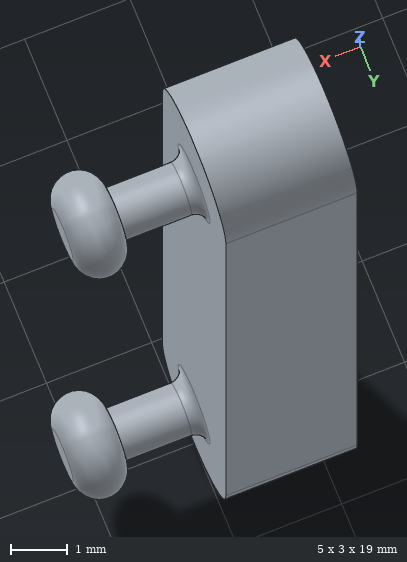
import cadquery as cq
import math

bar_length = 19.0
bar_width = 3.0
bar_thickness = 2.5

pin_spacing = 14.0
pin_projection = 2.5
stem_radius = 0.5
root_fillet = 0.25
head_radius = 1.0
head_thickness = 1.0
head_round = head_thickness / 2

tip_x = bar_thickness + pin_projection
head_start_x = tip_x - head_thickness


def make_bar():
    """Slot-shaped bar, long along Z and extruded along +X."""
    return cq.Workplane("YZ").slot2D(bar_length, bar_width, 90).extrude(bar_thickness)


def make_pin(center_z):
    """Pin revolved about an axis parallel to X at the given height."""
    diagonal = math.sqrt(0.5)
    root_mid = (
        bar_thickness + root_fillet * (1 - diagonal),
        stem_radius + root_fillet * (1 - diagonal),
    )
    rim_mid = (head_start_x + head_round, head_radius)
    rim_inner_radius = head_radius - head_round

    profile = (
        cq.Workplane("XZ", origin=(0, 0, center_z))
        .moveTo(bar_thickness, 0)
        .lineTo(bar_thickness, stem_radius + root_fillet)
        .threePointArc(root_mid, (bar_thickness + root_fillet, stem_radius))
        .lineTo(head_start_x, stem_radius)
        .threePointArc(rim_mid, (tip_x, rim_inner_radius))
        .lineTo(tip_x, 0)
        .close()
    )
    return profile.revolve(360, (0, 0, 0), (1, 0, 0))


result = make_bar()
for side in (-1, 1):
    result = result.union(make_pin(side * pin_spacing / 2))